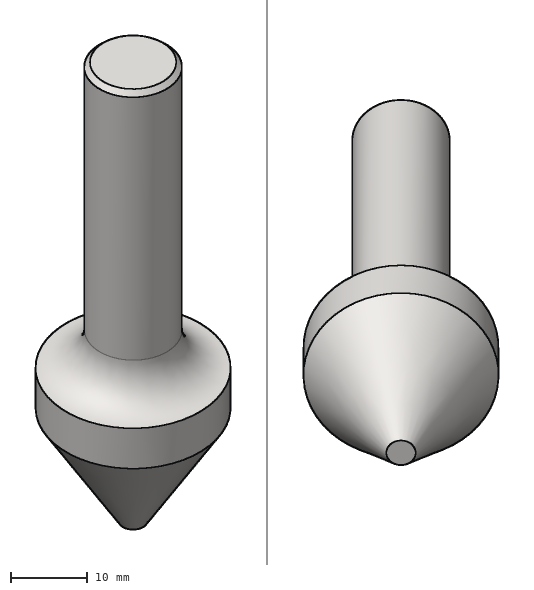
import cadquery as cq

total_height = 76.2
head_diameter = 25.4
shank_diameter = 12.7
tip_diameter = 3.8
cone_height = 18.75
collar_height = 6.7
shank_chamfer = 0.8

head_radius = head_diameter / 2
shank_radius = shank_diameter / 2
tip_radius = tip_diameter / 2
neck_radius = head_radius - shank_radius
collar_top = cone_height + collar_height
neck_top = collar_top + neck_radius


def make_cone_tip():
    """Truncated cone that widens upward to meet the underside of the collar."""
    return (
        cq.Workplane("XZ")
        .lineTo(tip_radius, 0)
        .lineTo(head_radius, cone_height)
        .lineTo(0, cone_height)
        .close()
        .revolve()
    )


def make_shank():
    """Round shank with a collar, a concave neck between them and a chamfered end."""
    neck = cq.Workplane("XZ").moveTo(0, cone_height).lineTo(head_radius, cone_height)
    neck = neck.lineTo(head_radius, collar_top)
    neck = neck.radiusArc((shank_radius, neck_top), neck_radius)
    return (
        neck.lineTo(shank_radius, total_height - shank_chamfer)
        .lineTo(shank_radius - shank_chamfer, total_height)
        .lineTo(0, total_height)
        .close()
        .revolve()
    )


cone_tip = make_cone_tip()
shank = make_shank()

result = cq.Compound.makeCompound([cone_tip.val(), shank.val()])